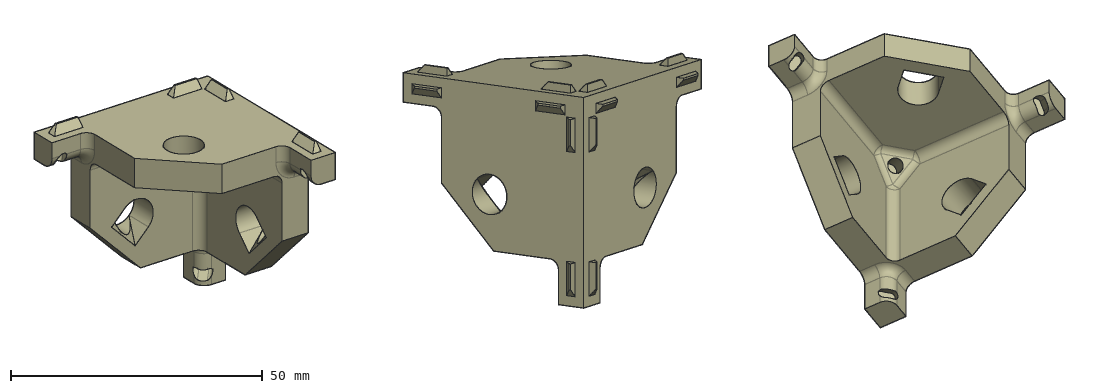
import cadquery as cq
import math


overall_size = 44.5
tab_height = 1.65
arm_length = overall_size - tab_height

plate_length = 33.78
plate_thickness = 6.5
plate_bevel_start = 21.35
fillet_radius = 2.0

arm_width = 6.0
arm_round_radius = 2.5

gusset_reach = 26.7
gusset_hole_diameter = 3.1
gusset_hole_depth = 6.68

plate_hole_place = 22.35
plate_hole_diameter = 8.2

slot_place = 40.65
slot_length = 4.0
slot_width = 2.0
slot_depth = 4.0
slot_clearance = 4.45

tab_length = 7.0
tab_inset = 2.0
tab_ridge_width = 0.4
tab_starts = (4.45, plate_length)

tolerance = 0.005
origin = (0, 0, 0)


def on_three_sides(shape):
    """The shape and its two copies turned about the body diagonal."""
    return [shape.rotate(origin, (1, 1, 1), angle) for angle in (0, 120, 240)]


def swap_x_and_y(shape):
    """The shape mirrored in the plane x = y."""
    return shape.mirror("XY").rotate(origin, (1, 1, 0), 180)


def make_plate():
    outline = [
        (0, 0),
        (plate_length, 0),
        (plate_length, plate_bevel_start),
        (plate_bevel_start, plate_length),
        (0, plate_length),
    ]
    return cq.Workplane("XY").polyline(outline).close().extrude(plate_thickness)


def gusset_plane():
    """Plane of the gusset face, pointing out of the material."""
    middle = gusset_reach / 3
    return cq.Plane(origin=(middle, middle, middle), xDir=(1, -1, 0), normal=(1, 1, 1))


def make_gusset():
    """A cube at the outer corner, cut off square to the body diagonal."""
    side = plate_bevel_start
    cube = cq.Workplane("XY").box(side, side, side, centered=False)
    beyond = cq.Workplane(gusset_plane()).rect(4 * side, 4 * side).extrude(2 * side)
    return cube.cut(beyond)


def make_arm():
    arm = cq.Workplane("XY").box(arm_length, arm_width, arm_width, centered=False)
    return arm.edges("|X and >Y and >Z").fillet(arm_round_radius)


def make_tab(start):
    """Tab on the z = 0 face along X, sloped at 45 degrees at its far end and inner side."""
    far_end = start + tab_length
    side_view = [
        (start, 0),
        (start, -tab_height),
        (far_end - tab_height, -tab_height),
        (far_end, 0),
    ]
    ridge_end = tab_inset + tab_ridge_width
    end_view = [
        (tab_inset, 0),
        (tab_inset, -tab_height),
        (ridge_end, -tab_height),
        (ridge_end + tab_height, 0),
    ]
    along = cq.Workplane("XZ").polyline(side_view).close().extrude(-arm_width)
    across = cq.Workplane("YZ").polyline(end_view).close().extrude(arm_length)
    return along.intersect(across)


def make_plate_hole():
    """Round hole plus a wedge that widens it into a square corner on the inner face."""
    center = (plate_hole_place, plate_hole_place, 0)
    radius = plate_hole_diameter / 2
    hole = cq.Workplane("XY", origin=center).circle(radius).extrude(plate_thickness)
    wedge_run = plate_thickness / math.sqrt(2)
    wedge_plane = cq.Plane(origin=center, xDir=(1, 1, 0), normal=(1, -1, 0))
    wedge_outline = [(0, 0), (0, plate_thickness), (wedge_run, plate_thickness)]
    wedge = cq.Workplane(wedge_plane).polyline(wedge_outline).close().extrude(radius, both=True)
    return hole.union(wedge)


def make_gusset_hole():
    return cq.Workplane(gusset_plane()).circle(gusset_hole_diameter / 2).extrude(-gusset_hole_depth)


def make_arm_slot():
    """Round-ended slot centred on the middle of the rounded edge of the X arm."""
    edge_middle = arm_width - arm_round_radius * (1 - math.sqrt(0.5))
    plane = cq.Plane(origin=(slot_place, edge_middle, edge_middle), xDir=(0, 1, -1), normal=(1, 1, 1))
    floor = cq.Workplane(plane).workplane(offset=-slot_depth)
    return floor.slot2D(slot_length, slot_width).extrude(slot_depth + slot_clearance)


def ends_on_gusset_face(edge):
    """True for the inner edges that start at a corner of the gusset face."""
    return any(abs(sum(v.toTuple()) - gusset_reach) < tolerance for v in edge.Vertices())


def is_arm_root(edge):
    """True for the inner edges where an arm leaves the end face of the plates."""
    low, middle, high = sorted(edge.Center().toTuple())
    on_end_face = abs(high - plate_length) < tolerance
    return on_end_face and low > tolerance and middle < arm_width + tolerance


def fillet_where(solid, test):
    chosen = [edge for edge in solid.edges().vals() if test(edge)]
    return solid.newObject(chosen).fillet(fillet_radius)


body = make_gusset()
for plate in on_three_sides(make_plate()):
    body = body.union(plate)
body = fillet_where(body, ends_on_gusset_face)

for arm in on_three_sides(make_arm()):
    body = body.union(arm)
body = fillet_where(body, is_arm_root)

for tab_start in tab_starts:
    tab = make_tab(tab_start)
    for copy in on_three_sides(tab) + on_three_sides(swap_x_and_y(tab)):
        body = body.union(copy)

body = body.cut(make_gusset_hole())
for cutter in on_three_sides(make_plate_hole()) + on_three_sides(make_arm_slot()):
    body = body.cut(cutter)

result = body.rotate(origin, (1, 0, 0), 180)